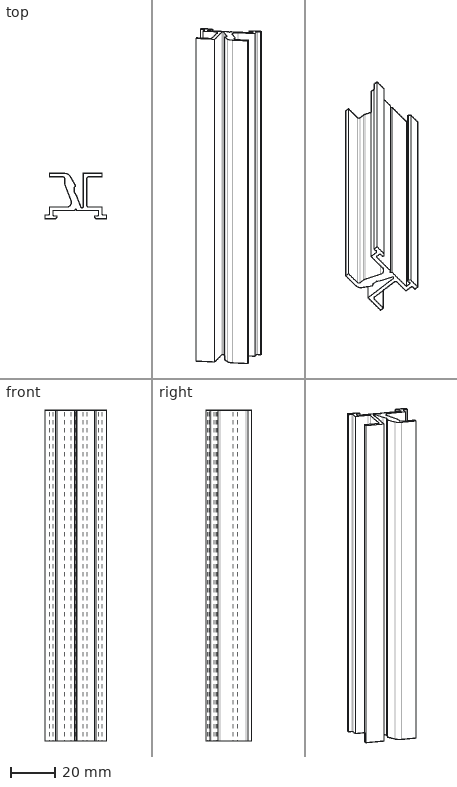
import cadquery as cq
import math

LENGTH = 150.0
FOOT_SPAN = 28.0
HEIGHT = 20.7

WALL = 1.7
BODY_SPAN = 24.0
FLOOR_BOTTOM = 3.7
CORNER_RADIUS = 0.9

FOOT_INNER_SPAN = 16.8
FOOT_CHAMFER = 0.8
FOOT_OUTER_TOP = 1.8
FOOT_INNER_TOP = 1.4
FOOT_FILLET = 0.4

GROOVE_HALF_WIDTH = 0.5
GROOVE_WALL_ANGLE = 60.0

UPRIGHT_OUTER = 5.0
WEB_KNEE_Y = 15.6
WEB_KNEE_RADIUS = 2.0
WEB_FOOT_FILLET = 2.1
WEB_ANGLE = 21
HOOK_ANGLE = 30.0
HOOK_TIP = (0.0, 15.0)
HOOK_TIP_RADIUS = 0.5
HOOK_TOP_RADIUS = 3.0
NOTCH_X = -0.6
NOTCH_TOP = 14.3
NOTCH_BOTTOM = 12.2
LOWER_BARB_Y = 10.3
LOWER_BARB_RADIUS = 0.4
SLOT_FLOOR = 5.0
SLOT_FLOOR_WIDTH = 0.8
SLOT_FLOOR_RADIUS = 0.4

half_body = BODY_SPAN / 2
half_foot = FOOT_SPAN / 2
foot_inner = FOOT_INNER_SPAN / 2
leg_inner = half_body - WALL
floor_top = FLOOR_BOTTOM + WALL
flange_bottom = HEIGHT - WALL
groove_depth = GROOVE_HALF_WIDTH * math.tan(math.radians(GROOVE_WALL_ANGLE))
upright_inner = UPRIGHT_OUTER - WALL
web_foot_x = -UPRIGHT_OUTER + (WEB_KNEE_Y - floor_top) * math.tan(math.radians(WEB_ANGLE))
hook_top_x = HOOK_TIP[0] - (HEIGHT - HOOK_TIP[1]) * math.tan(math.radians(HOOK_ANGLE))
slot_left = upright_inner - SLOT_FLOOR_WIDTH
lower_barb_x = slot_left - (LOWER_BARB_Y - SLOT_FLOOR) * math.tan(math.radians(WEB_ANGLE))


def foot_corners(side):
    """Corners of one leg and foot, from the outer floor edge around to the floor underside."""
    return [
        (side * half_body, floor_top, 0),
        (side * half_body, FOOT_OUTER_TOP, FOOT_FILLET),
        (side * half_foot, FOOT_OUTER_TOP, 0),
        (side * half_foot, 0, 0),
        (side * (foot_inner + FOOT_CHAMFER), 0, 0),
        (side * foot_inner, FOOT_CHAMFER, 0),
        (side * foot_inner, FOOT_INNER_TOP, 0),
        (side * leg_inner, FOOT_INNER_TOP, FOOT_FILLET),
        (side * leg_inner, FLOOR_BOTTOM, 0),
    ]


def groove_corners():
    """V-groove on the centre line, left to right."""
    return [
        (-GROOVE_HALF_WIDTH, FLOOR_BOTTOM, 0),
        (0, FLOOR_BOTTOM + groove_depth, 0),
        (GROOVE_HALF_WIDTH, FLOOR_BOTTOM, 0),
    ]


def upright_corners():
    """Straight upright with its flange, from the floor up and down into the slot."""
    return [
        (UPRIGHT_OUTER, floor_top, CORNER_RADIUS),
        (UPRIGHT_OUTER, flange_bottom, CORNER_RADIUS),
        (half_body, flange_bottom, 0),
        (half_body, HEIGHT, 0),
        (upright_inner, HEIGHT, 0),
        (upright_inner, SLOT_FLOOR, SLOT_FLOOR_RADIUS),
    ]


def web_corners():
    """Slanted web, from the slot floor up the hooked face and down the plain face."""
    return [
        (slot_left, SLOT_FLOOR, SLOT_FLOOR_RADIUS),
        (lower_barb_x, LOWER_BARB_Y, LOWER_BARB_RADIUS),
        (NOTCH_X, NOTCH_BOTTOM, 0),
        (NOTCH_X, NOTCH_TOP, 0),
        (*HOOK_TIP, HOOK_TIP_RADIUS),
        (hook_top_x, HEIGHT, HOOK_TOP_RADIUS),
        (-half_body, HEIGHT, 0),
        (-half_body, flange_bottom, 0),
        (-UPRIGHT_OUTER, flange_bottom, CORNER_RADIUS),
        (-UPRIGHT_OUTER, WEB_KNEE_Y, WEB_KNEE_RADIUS),
        (web_foot_x, floor_top, WEB_FOOT_FILLET),
    ]


def corner_arc(before, corner, after, radius):
    """Start, middle and end of the arc of this radius that rounds a corner."""
    point = cq.Vector(*corner)
    back = (cq.Vector(*before) - point).normalized()
    ahead = (cq.Vector(*after) - point).normalized()
    half_angle = back.getAngle(ahead) / 2
    setback = radius / math.tan(half_angle)
    middle_distance = radius / math.sin(half_angle) - radius
    bisector = (back + ahead).normalized()
    return point + back * setback, point + bisector * middle_distance, point + ahead * setback


def rounded_outline(corners):
    """Closed outline through (x, y, radius) corners; a zero radius stays sharp."""
    outline = cq.Workplane("XY").moveTo(*corners[0][:2])
    for index in range(1, len(corners)):
        x, y, radius = corners[index]
        if radius == 0:
            outline = outline.lineTo(x, y)
            continue
        before = corners[index - 1][:2]
        after = corners[(index + 1) % len(corners)][:2]
        start, middle, end = corner_arc(before, (x, y), after, radius)
        outline = outline.lineTo(start.x, start.y)
        outline = outline.threePointArc((middle.x, middle.y), (end.x, end.y))
    return outline.close()


section = (
    foot_corners(-1)
    + groove_corners()
    + foot_corners(1)[::-1]
    + upright_corners()
    + web_corners()
)
result = rounded_outline(section).extrude(LENGTH)